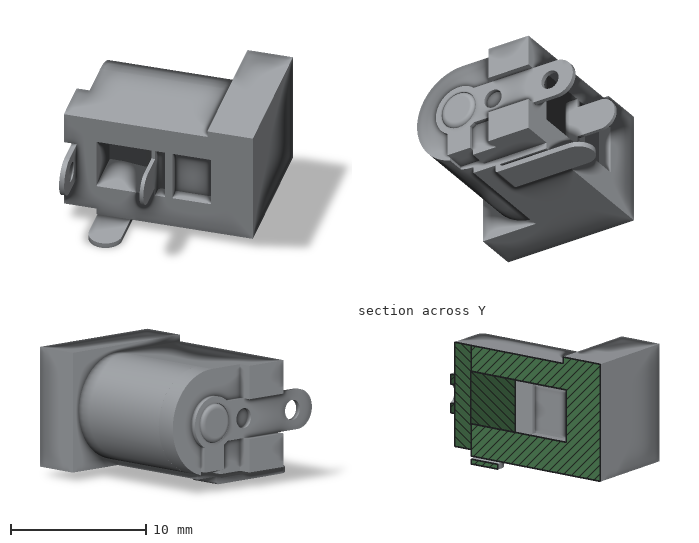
import cadquery as cq


total_length = 14.5
rear_step = 1.0
cover_face_x = rear_step
body_x = 2.5
flange_x = 11.0
body_radius = 4.0
front_y = -6.4
base_z = -4.5
flange_width = 11.0

block_length = 3.5

pin_y = 0.1
pin_radius = 1.5
pin_head_rise = 0.2
pin_head_rounding = 0.4
plate_thickness = 0.39
disc_radius = 2.0
arm_half_width = pin_radius
arm_reach = 3.5
hole_radius = 0.75
outer_hole_reach = 1.5
foot_half_width = 1.0
foot_bottom_z = -3.6

window_half_height = 1.99
rear_window_end_x = 7.77
front_window_start_x = 8.32
chamber_end_x = 11.3
wall_thickness = 1.0

tab_width = 2.54
tab_radius = tab_width / 2
tab_center_reach = 2.0

switch_thickness = 0.29
switch_x = 6.71
switch_bend_radius = 0.29

spring_thickness = 0.4
spring_depth = 3.68
spring_flat_end_x = 3.54
spring_crest_x = 5.28
spring_crest_depth = 3.42
spring_crest_rounding = 0.7
spring_tail_slope = 0.25

upright_depth = spring_depth + spring_thickness
upright_thickness = 0.4
upright_bend_rounding = 0.2
tab_bottom_z = -5.1

chamber_depth = upright_depth + upright_thickness
spring_tail_depth = chamber_depth - spring_thickness
spring_tail_x = spring_crest_x + (spring_tail_depth - spring_crest_depth) / spring_tail_slope
switch_leg_depth = wall_thickness + switch_thickness
tab_center_y = front_y - tab_center_reach


def box(x_range, y_range, z_range):
    """Axis-aligned block between the given limits."""
    (x0, x1), (y0, y1), (z0, z1) = x_range, y_range, z_range
    return cq.Workplane("XY").box(x1 - x0, y1 - y0, z1 - z0, centered=False).translate((x0, y0, z0))


def disc(x_range, y, radius):
    """Cylinder along X, at the height of the pin axis."""
    x0, x1 = x_range
    return cq.Workplane("YZ", origin=(x0, y, 0)).circle(radius).extrude(x1 - x0)


def rounded_body(x0, x1):
    """Body section: half-round back, flat top and bottom, flat front side."""
    return (
        cq.Workplane("YZ", origin=(x0, 0, 0))
        .moveTo(front_y, body_radius)
        .lineTo(0, body_radius)
        .threePointArc((body_radius, 0), (0, -body_radius))
        .lineTo(front_y, -body_radius)
        .close()
        .extrude(x1 - x0)
    )


def upright(z0, z1):
    """Straight post of the spring terminal, which also shapes its slot in the housing."""
    near_y = front_y + upright_depth
    return box((body_x, body_x + tab_width), (near_y, near_y + upright_thickness), (z0, z1))


def make_housing():
    window_z = (-window_half_height, window_half_height)
    body = rounded_body(body_x, flange_x)
    base = box((body_x, flange_x), (front_y, 0), (base_z, 0))
    flange = box((flange_x, total_length), (front_y, front_y + flange_width), (base_z, -base_z))
    wall_y = (front_y, front_y + wall_thickness)
    rear_window = box((body_x, rear_window_end_x), wall_y, window_z)
    front_window = box((front_window_start_x, chamber_end_x), wall_y, window_z)
    chamber = box((body_x, chamber_end_x), (wall_y[1], front_y + chamber_depth), window_z)
    housing = body.union(base).union(flange)
    return housing.cut(rear_window).cut(front_window).cut(chamber).cut(upright(base_z, -window_half_height))


def make_cover():
    block = box((0, cover_face_x), (front_y, front_y + block_length), (-body_radius, body_radius))
    arm_channel = box(
        (0, cover_face_x),
        (front_y, front_y + block_length),
        (-arm_half_width, arm_half_width),
    )
    notch = box(
        (cover_face_x, body_x),
        (pin_y - foot_half_width, pin_y + foot_half_width),
        (-body_radius, foot_bottom_z),
    )
    pin_hole = disc((cover_face_x, body_x), pin_y, pin_radius)
    cover = rounded_body(cover_face_x, body_x).union(block.cut(arm_channel))
    return cover.cut(notch).cut(pin_hole)


def make_pin_terminal():
    plate_x = (cover_face_x - plate_thickness, cover_face_x)
    arm_center_y = front_y - arm_reach + arm_half_width
    outer_hole_y = front_y - outer_hole_reach
    inner_hole_y = front_y + block_length
    arm = box(plate_x, (arm_center_y, pin_y), (-arm_half_width, arm_half_width))
    foot = box(plate_x, (pin_y - foot_half_width, pin_y + foot_half_width), (foot_bottom_z, 0))
    plate = disc(plate_x, pin_y, disc_radius).union(arm).union(foot)
    plate = plate.union(disc(plate_x, arm_center_y, arm_half_width))
    for y, radius in ((pin_y, pin_radius), (inner_hole_y, hole_radius), (outer_hole_y, hole_radius)):
        plate = plate.cut(disc(plate_x, y, radius))
    return plate


def make_pin():
    head_x = cover_face_x - plate_thickness - pin_head_rise
    return disc((head_x, body_x), pin_y, pin_radius).faces("<X").edges().fillet(pin_head_rounding)


def make_switch_terminal():
    """L-shaped sheet: a full-height leg behind the wall, and a narrower tab outside."""
    far_y = front_y + switch_leg_depth
    sheet = (
        cq.Workplane("XY", origin=(0, 0, -window_half_height))
        .moveTo(switch_x, front_y)
        .lineTo(switch_x, far_y)
        .lineTo(chamber_end_x, far_y)
        .lineTo(chamber_end_x, far_y - switch_thickness)
        .lineTo(switch_x + switch_thickness, far_y - switch_thickness)
        .lineTo(switch_x + switch_thickness, front_y)
        .close()
        .extrude(2 * window_half_height)
    )
    outer_corner = cq.selectors.NearestToPointSelector((switch_x, far_y, 0))
    sheet = sheet.edges(outer_corner).fillet(switch_bend_radius + switch_thickness)
    inner_corner = cq.selectors.NearestToPointSelector(
        (switch_x + switch_thickness, far_y - switch_thickness, 0)
    )
    sheet = sheet.edges(inner_corner).fillet(switch_bend_radius)
    tab_x = (switch_x, switch_x + switch_thickness)
    tab = box(tab_x, (tab_center_y, front_y), (-tab_radius, tab_radius))
    return sheet.union(tab).union(disc(tab_x, tab_center_y, tab_radius))


def make_spring():
    """Kinked strip lying on the spring terminal; its tail runs back to the chamber wall."""
    near_side = [
        (body_x, front_y + spring_depth),
        (spring_flat_end_x, front_y + spring_depth),
        (spring_crest_x, front_y + spring_crest_depth),
        (spring_tail_x, front_y + spring_tail_depth),
    ]
    far_side = [(x, y + spring_thickness) for x, y in reversed(near_side)]
    strip = (
        cq.Workplane("XY", origin=(0, 0, -window_half_height))
        .polyline(near_side + far_side)
        .close()
        .extrude(2 * window_half_height)
    )
    crest = cq.selectors.NearestToPointSelector((spring_crest_x, front_y + spring_crest_depth, 0))
    return strip.edges(crest).fillet(spring_crest_rounding)


def make_spring_terminal():
    near_y = front_y + upright_depth
    tab_top_z = tab_bottom_z + upright_thickness
    post = upright(tab_bottom_z, window_half_height)
    tab = box((body_x, body_x + tab_width), (tab_center_y, near_y), (tab_bottom_z, tab_top_z))
    tab_end = (
        cq.Workplane("XY", origin=(body_x + tab_radius, tab_center_y, tab_bottom_z))
        .circle(tab_radius)
        .extrude(upright_thickness)
    )
    bent = post.union(tab)
    bend_edges = ((near_y, tab_top_z), (near_y + upright_thickness, tab_bottom_z))
    for y, z in bend_edges:
        edge = cq.selectors.NearestToPointSelector((body_x + tab_radius, y, z))
        bent = bent.edges(edge).fillet(upright_bend_rounding)
    return bent.union(tab_end)


housing = make_housing()
cover = make_cover()
pin_terminal = make_pin_terminal()
pin = make_pin()
switch_terminal = make_switch_terminal()
spring = make_spring()
spring_terminal = make_spring_terminal()

result = cq.Compound.makeCompound(
    [
        housing.solids().val(),
        cover.solids().val(),
        pin_terminal.solids().val(),
        pin.solids().val(),
        switch_terminal.solids().val(),
        spring.solids().val(),
        spring_terminal.solids().val(),
    ]
)